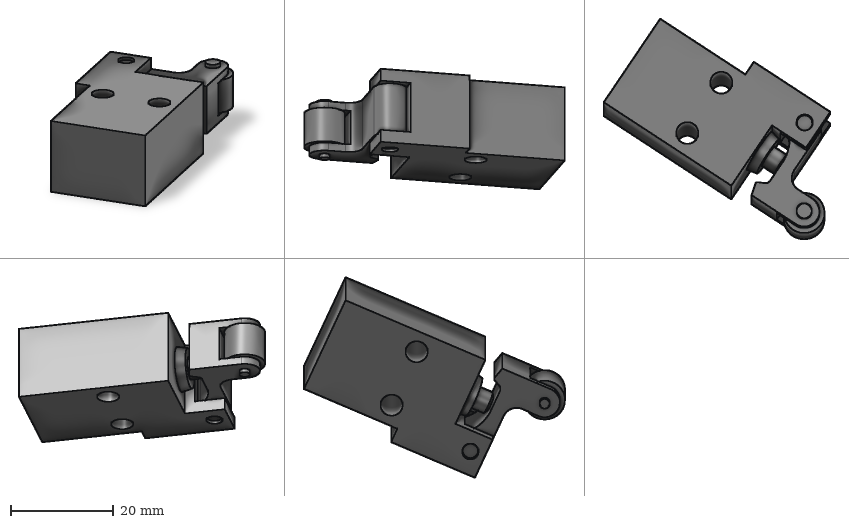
import cadquery as cq
import math

overall_length = 48.5

body_width = 20.0
body_length = 30.0
height = 15.0
mid_z = height / 2
hole_diameter = 4.3
hole_y = 17.0
hole_xs = (4.0, 16.0)

bracket_overhang = 3.0
bracket_right = 5.6
bracket_bottom = 20.05
bracket_top = 38.0
pocket_floor = 32.0

lever_thickness = 10.1
pivot_x = 1.55
pivot_y = 35.0
barrel_radius = 3.3
pivot_hole_diameter = 3.2
pivot_pin_diameter = 3.0
pivot_recess = 0.6
arm_underside = 35.55
elbow_radius = 2.75
heel_y = 34.1
toe_tip = (16.3, 33.35)
toe_root = (15.25, arm_underside)
toe_tip_radius = 0.5
toe_root_radius = 1.0
underside_bend_x = 9.6
underside_at_bracket = 34.15

roller_diameter = 8.0
roller_width = 6.9
fork_radius = 3.0
fork_floor = 40.05
roller_x = body_width - roller_diameter / 2
roller_y = overall_length - roller_diameter / 2
pin_head_diameter = 3.0
pin_tail_diameter = 2.0
pin_projection = 0.8

plunger_x = 10.0
plunger_radius = 4.5 / 2
plunger_shoulder = 35.0
plunger_tip_radius = 1.45
collar_base_radius = 8.95 / 2
collar_top_radius = 8.0 / 2
collar_height = 2.05

lever_bottom = mid_z - lever_thickness / 2
lever_top = mid_z + lever_thickness / 2


def box(x_min, x_max, y_min, y_max, z_min, z_max):
    size = (x_max - x_min, y_max - y_min, z_max - z_min)
    return cq.Workplane("XY").box(*size, centered=False).translate((x_min, y_min, z_min))


def cylinder(x, y, diameter, z_min, z_max):
    return cq.Workplane("XY", origin=(x, y, z_min)).circle(diameter / 2).extrude(z_max - z_min)


def make_body():
    body = box(0, body_width, 0, body_length, 0, height)
    for x in hole_xs:
        body = body.cut(cylinder(x, hole_y, hole_diameter, 0, height))
    return body


def make_bracket():
    bracket = box(-bracket_overhang, bracket_right, bracket_bottom, bracket_top, 0, height)
    pocket = box(-bracket_overhang, bracket_right, pocket_floor, bracket_top, lever_bottom, lever_top)
    pivot_hole = cylinder(pivot_x, pivot_y, pivot_hole_diameter, 0, height)
    return bracket.cut(pocket.union(pivot_hole))


def make_lever():
    fork_left = roller_x - fork_radius
    fork_right = roller_x + fork_radius
    arm_top = pivot_y + barrel_radius
    barrel_diagonal = barrel_radius * math.sqrt(0.5)
    barrel_start = (pivot_x + barrel_diagonal, pivot_y - barrel_diagonal)
    elbow_mid = elbow_radius * (1 - math.sqrt(0.5))
    profile = (
        cq.Workplane("XY", origin=(0, 0, lever_bottom))
        .moveTo(pivot_x, arm_top)
        .lineTo(fork_left - elbow_radius, arm_top)
        .threePointArc((fork_left - elbow_mid, arm_top + elbow_mid), (fork_left, arm_top + elbow_radius))
        .lineTo(fork_left, roller_y)
        .threePointArc((roller_x, roller_y + fork_radius), (fork_right, roller_y))
        .lineTo(fork_right, heel_y)
        .lineTo(*toe_tip)
        .lineTo(*toe_root)
        .lineTo(underside_bend_x, arm_underside)
        .threePointArc((bracket_right, underside_at_bracket), barrel_start)
        .threePointArc((pivot_x - barrel_radius, pivot_y), (pivot_x, arm_top))
        .close()
    )
    lever = profile.extrude(lever_thickness)
    pick_margin = 0.05
    for (x, y), radius in ((toe_tip, toe_tip_radius), (toe_root, toe_root_radius)):
        lower = (x - pick_margin, y - pick_margin, 0)
        upper = (x + pick_margin, y + pick_margin, height)
        corner = cq.selectors.BoxSelector(lower, upper)
        lever = lever.edges(corner).fillet(radius)
    fork_slot = box(
        fork_left - elbow_radius, fork_right, fork_floor, roller_y + fork_radius,
        mid_z - roller_width / 2, mid_z + roller_width / 2,
    )
    return lever.cut(fork_slot)


def make_pivot_pin():
    return cylinder(pivot_x, pivot_y, pivot_pin_diameter, pivot_recess, height - pivot_recess)


def make_roller():
    roller = cylinder(
        roller_x, roller_y, roller_diameter, mid_z - roller_width / 2, mid_z + roller_width / 2
    )
    pin_head = cylinder(roller_x, roller_y, pin_head_diameter, mid_z, lever_top + pin_projection)
    pin_tail = cylinder(roller_x, roller_y, pin_tail_diameter, lever_bottom - pin_projection, mid_z)
    return roller.union(pin_head).union(pin_tail)


def make_plunger():
    collar_top = body_length + collar_height
    half_profile = (
        cq.Workplane("XY")
        .moveTo(0, body_length)
        .lineTo(collar_base_radius, body_length)
        .lineTo(collar_top_radius, collar_top)
        .lineTo(plunger_radius, collar_top)
        .lineTo(plunger_radius, plunger_shoulder)
        .lineTo(plunger_tip_radius, arm_underside)
        .lineTo(0, arm_underside)
        .close()
    )
    return half_profile.revolve(360, (0, 0, 0), (0, 1, 0)).translate((plunger_x, 0, mid_z))


result = make_body()
for component in (make_bracket(), make_lever(), make_pivot_pin(), make_roller(), make_plunger()):
    result = result.union(component)